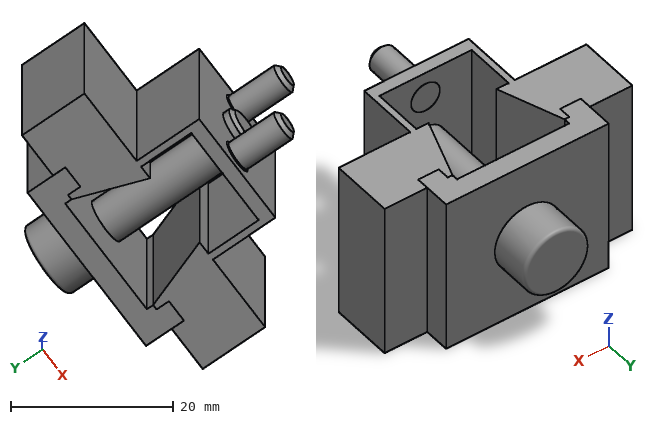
import cadquery as cq

height = 23.9

wing_half_width = 19.05
wing_front_y = 9.5
wing_back_y = 18.97
channel_half_width = 8.05
channel_side_wall = 0.95
channel_inner_half = channel_half_width - channel_side_wall
front_wall = 1.85
jaw_tip_half = 5.22
mouth_half = 8.6

clamp_half_width = 12.5
clamp_inner_y = 19.93
clamp_outer_y = 22.85
lug_inner_half = 9.35
lug_depth = 1.85
lug_end_y = wing_back_y - lug_depth

screw_radius = 3.0
screw_tip_y = -1.4
screw_tip_chamfer_length = 0.5
screw_tip_chamfer_width = 0.57
head_diameter = 10.02
head_radius = head_diameter / 2
head_length = 6.02
head_fillet = 0.5

pin_diameter = 4.0
pin_radius = pin_diameter / 2
pin_root_radius = 2.2
pin_root_taper = 0.1
pin_tip_y = -7.62
pin_tip_chamfer = 0.6
pin_offset_z = 7.92


def extrude_outline(right_half):
    """Mirror a right-half XY outline about X = 0 and extrude it, centred on Z = 0."""
    left_half = [(-x, y) for x, y in reversed(right_half)]
    return (
        cq.Workplane("XY")
        .polyline(right_half + left_half)
        .close()
        .extrude(height / 2, both=True)
    )


def y_cylinder(radius, start_y, end_y, z=0.0):
    """Cylinder along Y at X = 0."""
    return cq.Workplane(
        cq.Solid.makeCylinder(radius, end_y - start_y, cq.Vector(0, start_y, z), cq.Vector(0, 1, 0))
    )


def make_base():
    base = extrude_outline([
        (channel_half_width, 0),
        (channel_half_width, wing_front_y),
        (wing_half_width, wing_front_y),
        (wing_half_width, wing_back_y),
        (clamp_half_width, wing_back_y),
        (clamp_half_width, lug_end_y),
        (lug_inner_half, lug_end_y),
        (lug_inner_half, wing_back_y),
        (mouth_half, wing_back_y),
        (jaw_tip_half, wing_front_y),
        (channel_inner_half, wing_front_y),
        (channel_inner_half, front_wall),
    ])
    base = base.cut(y_cylinder(screw_radius, 0, front_wall))
    for z in (-pin_offset_z, pin_offset_z):
        base = base.cut(y_cylinder(pin_root_radius, 0, front_wall, z))
    return base


def make_clamp():
    clamp = extrude_outline([
        (mouth_half, clamp_inner_y),
        (mouth_half, wing_back_y),
        (lug_inner_half, wing_back_y),
        (lug_inner_half, lug_end_y),
        (clamp_half_width, lug_end_y),
        (clamp_half_width, clamp_outer_y),
    ])
    return clamp.cut(y_cylinder(screw_radius, clamp_inner_y, clamp_outer_y))


def revolve_about_y(half_profile):
    """Revolve an XY half profile a full turn about the Y axis."""
    return cq.Workplane("XY").polyline(half_profile).close().revolve(360, (0, 0, 0), (0, 1, 0))


def make_screw():
    shank = revolve_about_y([
        (0, clamp_outer_y),
        (screw_radius, clamp_outer_y),
        (screw_radius, screw_tip_y + screw_tip_chamfer_length),
        (screw_radius - screw_tip_chamfer_width, screw_tip_y),
        (0, screw_tip_y),
    ])
    head = y_cylinder(head_radius, clamp_outer_y, clamp_outer_y + head_length)
    head = head.faces(">Y").edges().fillet(head_fillet)
    return shank.union(head)


def make_pin(z):
    """Revolve the pin's half profile about its own axis, then move it to height z."""
    profile = [
        (0, front_wall),
        (pin_root_radius, front_wall),
        (pin_root_radius, 0),
        (pin_radius, -pin_root_taper),
        (pin_radius, pin_tip_y + pin_tip_chamfer),
        (pin_radius - pin_tip_chamfer, pin_tip_y),
        (0, pin_tip_y),
    ]
    return revolve_about_y(profile).translate((0, 0, z))


base = make_base()
clamp = make_clamp()
screw = make_screw()
pins = [make_pin(z) for z in (-pin_offset_z, pin_offset_z)]

result = cq.Compound.makeCompound([
    base.val(),
    clamp.val(),
    screw.val(),
    *[pin.val() for pin in pins],
])